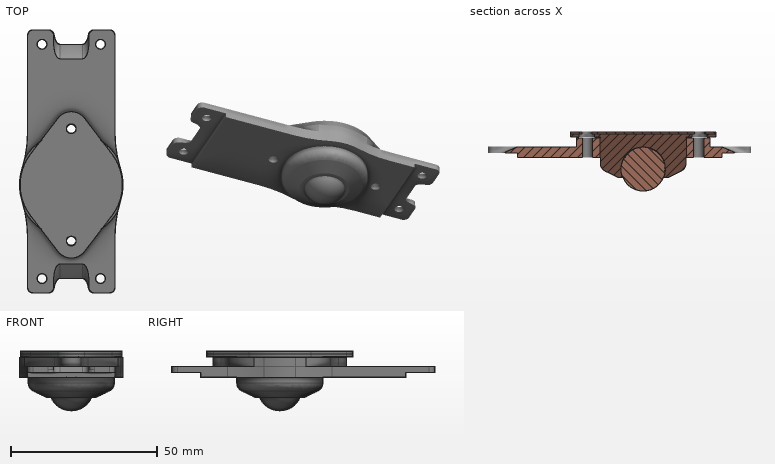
import cadquery as cq
import math


sheet_thickness = 1.0
flange_gap = 0.2
seat_height = 3.1
tab_thickness = 2.2
plate_thickness = 3.8
unit_height = 20.4

flange_bottom = -2 * sheet_thickness
seat_top = flange_bottom - flange_gap
plate_top = seat_top - seat_height
tab_bottom = plate_top - tab_thickness
plate_bottom = plate_top - plate_thickness

plate_length = 90
plate_width = 30.0
plate_offset = 8.0
corner_radius = 2.0
bulge_radius = 17.7
bulge_blend_radius = 41.4
tab_length = 9.9
mount_hole_diameter = 3.2
mount_hole_spacing = 20.0
mount_hole_inset = 4.95

notch_width = 12.1
ramp_run = tab_length / 2
ramp_fillet = 2.2

seat_radius = 18.3
lobe_radius = 3.4
lobe_distance = 19.4
lobe_blend_radius = 3.6
screw_hole_diameter = 3.3
screw_hole_distance = 19.0

flange_radius = 17.5
flange_tip_radius = 5.8
flange_hole_distance = 19.3
cover_hole_diameter = 3.2
cup_hole_diameter = 5.0

cup_radius = 29.5 / 2
ball_radius = 15.0 / 2
cup_floor = -15.8
cup_floor_radius = 8.5
cone_angle = 26
cup_fillet = 3.1

ball_center = ball_radius - unit_height
half_width = plate_width / 2
end_distance = plate_length / 2


def prism(profile, bottom, top):
    """Vertical extrusion of a flat profile between two heights."""
    return profile.extrude(top - bottom).translate((0, 0, bottom))


def opposite_points(distance):
    """Two points on the Y axis, one on each side of the ball."""
    return [(0, distance), (0, -distance)]


def plate_outline():
    """Rectangle widened by a round bulge that blends tangentially into the long sides."""
    blend_x = half_width + bulge_blend_radius
    blend_y = math.sqrt((bulge_radius + bulge_blend_radius) ** 2 - blend_x**2)
    share = bulge_radius / (bulge_radius + bulge_blend_radius)
    join_x = blend_x * share
    join_y = blend_y * share
    lean = math.atan2(blend_y, blend_x) / 2
    mid_x = blend_x - bulge_blend_radius * math.cos(lean)
    mid_y = blend_y - bulge_blend_radius * math.sin(lean)
    far_end = plate_offset + end_distance
    near_end = plate_offset - end_distance
    return (
        cq.Workplane("XY")
        .moveTo(half_width, near_end)
        .lineTo(half_width, -blend_y)
        .threePointArc((mid_x, -mid_y), (join_x, -join_y))
        .threePointArc((bulge_radius, 0), (join_x, join_y))
        .threePointArc((mid_x, mid_y), (half_width, blend_y))
        .lineTo(half_width, far_end)
        .lineTo(-half_width, far_end)
        .lineTo(-half_width, blend_y)
        .threePointArc((-mid_x, mid_y), (-join_x, join_y))
        .threePointArc((-bulge_radius, 0), (-join_x, -join_y))
        .threePointArc((-mid_x, -mid_y), (-half_width, -blend_y))
        .lineTo(-half_width, near_end)
        .close()
    )


def notch_cutter():
    """Tilted trough with rounded bottom edges, whose floor is the ramp at the +Y end of a plate
    centred on Y = 0."""
    tilt = math.degrees(math.atan2(tab_thickness, ramp_run))
    trough = (
        cq.Workplane("XY")
        .box(notch_width, 4 * tab_length, 2 * tab_length, centered=(True, True, False))
        .edges("|Y and <Z")
        .fillet(ramp_fillet)
    )
    ramp_start = (0, end_distance - tab_length, plate_top)
    return trough.rotate((0, 0, 0), (1, 0, 0), -tilt).translate(ramp_start)


def seat():
    """Disc with two screw lobes, each blended into the rim, and trimmed to the plate's bulge."""
    height = seat_top - plate_top
    blend_zone = cq.selectors.BoxSelector(
        (-2 * lobe_radius, -2 * lobe_distance, 0), (2 * lobe_radius, 2 * lobe_distance, height)
    )
    disc = cq.Workplane("XY").circle(seat_radius).extrude(height)
    lobe_centers = opposite_points(lobe_distance)
    lobes = cq.Workplane("XY").pushPoints(lobe_centers).circle(lobe_radius).extrude(height)
    blended = disc.union(lobes).edges("|Z").edges(blend_zone).fillet(lobe_blend_radius)
    return blended.translate((0, 0, plate_top)).intersect(prism(plate_outline(), plate_top, seat_top))


def make_base():
    """Plate with thin end tabs, ramped notches and the raised seat, bored for the cup."""
    plate = prism(plate_outline(), plate_bottom, plate_top)
    undercut = cq.Workplane("XY").box(plate_width, 2 * tab_length, plate_thickness)
    undercut = undercut.translate((0, end_distance, tab_bottom - plate_thickness / 2))
    cutter = undercut.union(notch_cutter())
    for end_cutter in (cutter, cutter.mirror("XZ")):
        plate = plate.cut(end_cutter.translate((0, plate_offset, 0)))
    for end in (">Y", "<Y"):
        plate = plate.faces(end).edges("|Z").fillet(corner_radius)
    plate = plate.union(seat(), clean=False)
    mount_holes = (
        cq.Workplane("XY")
        .center(0, plate_offset)
        .rect(mount_hole_spacing, plate_length - 2 * mount_hole_inset, forConstruction=True)
        .vertices()
        .circle(mount_hole_diameter / 2)
    )
    screw_centers = opposite_points(screw_hole_distance)
    screw_holes = cq.Workplane("XY").pushPoints(screw_centers).circle(screw_hole_diameter / 2)
    cup_bore = cq.Workplane("XY").circle(cup_radius)
    for hole in (mount_holes, screw_holes, cup_bore):
        plate = plate.cut(prism(hole, plate_bottom, seat_top), clean=False)
    return plate


def flange_sheet(bottom, hole_diameter):
    """Sheet with a round middle, narrowing along tangents to two rounded tips with screw holes."""
    tangent_cos = (flange_radius - flange_tip_radius) / flange_hole_distance
    tangent_sin = math.sqrt(1 - tangent_cos**2)
    side_x = flange_radius * tangent_sin
    side_y = flange_radius * tangent_cos
    tip_x = flange_tip_radius * tangent_sin
    tip_y = flange_hole_distance + flange_tip_radius * tangent_cos
    tip_end = flange_hole_distance + flange_tip_radius
    sheet = (
        cq.Workplane("XY")
        .moveTo(side_x, -side_y)
        .threePointArc((flange_radius, 0), (side_x, side_y))
        .lineTo(tip_x, tip_y)
        .threePointArc((0, tip_end), (-tip_x, tip_y))
        .lineTo(-side_x, side_y)
        .threePointArc((-flange_radius, 0), (-side_x, -side_y))
        .lineTo(-tip_x, -tip_y)
        .threePointArc((0, -tip_end), (tip_x, -tip_y))
        .close()
    )
    hole_centers = opposite_points(flange_hole_distance)
    holes = cq.Workplane("XY").pushPoints(hole_centers).circle(hole_diameter / 2)
    top = bottom + sheet_thickness
    return prism(sheet, bottom, top).cut(prism(holes, bottom, top))


def make_ball():
    """Whole sphere held in the cup's socket and showing below its floor."""
    return cq.Workplane("XY").sphere(ball_radius).translate((0, 0, ball_center))


def make_cup(ball):
    """Flanged cup with a rounded, conical underside and a spherical socket for the ball."""
    cone_rise = (cup_radius - cup_floor_radius) * math.tan(math.radians(cone_angle))
    cone_start = cup_floor + cone_rise
    shell = (
        cq.Workplane("XZ")
        .moveTo(0, flange_bottom)
        .lineTo(cup_radius, flange_bottom)
        .lineTo(cup_radius, cone_start)
        .lineTo(cup_floor_radius, cup_floor)
        .lineTo(0, cup_floor)
        .close()
        .revolve(360, (0, 0, 0), (0, 1, 0))
    )
    cone_rim = cq.selectors.NearestToPointSelector((0, 0, cone_start))
    shell = shell.edges(cone_rim).fillet(cup_fillet)
    return shell.union(flange_sheet(flange_bottom, cup_hole_diameter)).cut(ball)


base = make_base()
cover = flange_sheet(-sheet_thickness, cover_hole_diameter)
ball = make_ball()
cup = make_cup(ball)

result = cq.Compound.makeCompound([base.val(), cover.val(), cup.val(), ball.val()])